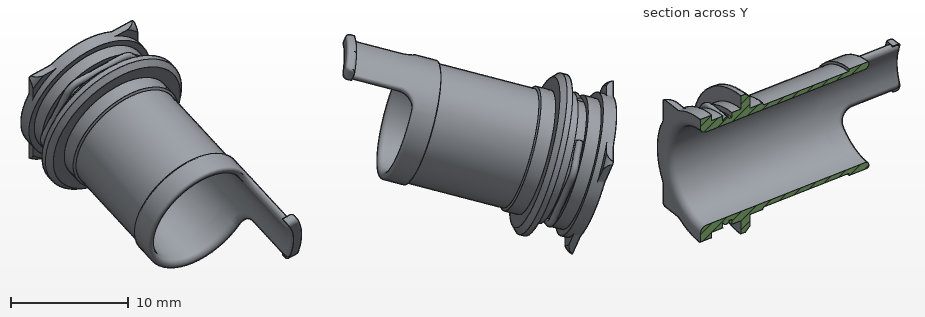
import cadquery as cq
import math

bore_radius = 4.75
collar_radius = 5.47
body_radius = 5.25

front_flange_radius = 6.3
front_flange_end = 1.2
mouth_round = 0.71
tab_half_width = 5.45
tab_thickness = 0.62
tab_corner_radius = 7.58
tab_back_radius = 7.0
tab_middle_radius = 7.42
tab_root_fillet = 0.5

neck_radius = 5.75
groove_start = 2.36
groove_end = 3.27

stop_flange_radius = 7.09
stop_flange_start = 4.22
stop_flange_end = 5.2
stop_flange_bevel = 0.48

collar_end = 6.5
collar_taper = 0.12
band_start = 15.48
band_taper = 0.08
band_end = 17.55

total_length = 24.0
arm_half_angle = 26.3
arm_foot_fillet = 1.45
arm_corner_fillet = 0.48
lip_start = 23.15
lip_radius = 6.0
lip_root_radius = 5.05
lip_half_width = 2.36
lip_corner_fillet = 0.44
lip_edge_fillet = 0.24
inner_edge_fillet = 0.47
outer_edge_fillet = 0.24

wire_radius = 0.32
clip_x = 2.72
clip_outer_apothem = 5.5
clip_outer_bend = 1.56

tolerance = 0.01


def turned(points):
    """Revolve a closed (x, radius) outline about the X axis."""
    return cq.Workplane("XY").polyline(points).close().revolve(360, (0, 0, 0), (1, 0, 0))


def ring(start, end, inner_radius, outer_radius):
    """A plain ring about the X axis."""
    return turned([
        (start, inner_radius),
        (end, inner_radius),
        (end, outer_radius),
        (start, outer_radius),
    ])


def ring_sector(start, end, inner_radius, outer_radius, first_angle, last_angle):
    """The part of a ring between two angles, measured about the X axis from +Y towards +Z."""
    return (
        cq.Workplane("XY")
        .moveTo(start, inner_radius)
        .lineTo(end, inner_radius)
        .lineTo(end, outer_radius)
        .lineTo(start, outer_radius)
        .close()
        .revolve(last_angle - first_angle, (0, 0, 0), (1, 0, 0))
        .rotate((0, 0, 0), (1, 0, 0), first_angle)
    )


def axis_distance(edge):
    """Distance of an edge's middle from the X axis."""
    middle = edge.positionAt(0.5)
    return math.hypot(middle.y, middle.z)


def fillet_edges(body, radius, is_wanted):
    """Round the edges of a body that pass a test."""
    wanted = [edge for edge in body.edges().vals() if is_wanted(edge)]
    return body.newObject(wanted).fillet(radius)


def is_tip_corner(edge):
    """True for the two short edges across the wall at the free end of the arm or lip."""
    return edge.geomType() == "LINE" and abs(edge.Center().x - total_length) < tolerance


def make_sleeve():
    """Stepped outside of the sleeve, from the front flange to the band, with its bore."""
    return turned([
        (0, bore_radius),
        (0, front_flange_radius),
        (front_flange_end, front_flange_radius),
        (front_flange_end, neck_radius),
        (groove_start, neck_radius),
        (groove_start, body_radius),
        (groove_end, body_radius),
        (groove_end, neck_radius),
        (stop_flange_start, neck_radius),
        (stop_flange_start, stop_flange_radius),
        (stop_flange_end - stop_flange_bevel, stop_flange_radius),
        (stop_flange_end, stop_flange_radius - stop_flange_bevel),
        (stop_flange_end, collar_radius),
        (collar_end, collar_radius),
        (collar_end + collar_taper, body_radius),
        (band_start - band_taper, body_radius),
        (band_start, collar_radius),
        (band_start, bore_radius),
    ])


def make_tabs():
    """Square plate whose corners, rounded off at the back, stand out of the front flange."""
    square = cq.Workplane("YZ").rect(2 * tab_half_width, 2 * tab_half_width).extrude(tab_thickness)
    disc = cq.Workplane("YZ").circle(front_flange_radius).extrude(tab_thickness)

    def is_tab_root(edge):
        center = edge.Center()
        on_flange = abs(axis_distance(edge) - front_flange_radius) < tolerance
        on_square = abs(max(abs(center.y), abs(center.z)) - tab_half_width) < tolerance
        return edge.geomType() == "LINE" and on_flange and on_square

    plate = fillet_edges(square.union(disc), tab_root_fillet, is_tab_root)
    envelope = (
        cq.Workplane("XY")
        .lineTo(tab_thickness, 0)
        .lineTo(tab_thickness, tab_back_radius)
        .threePointArc((tab_thickness / 2, tab_middle_radius), (0, tab_corner_radius))
        .close()
        .revolve(360, (0, 0, 0), (1, 0, 0))
    )
    bore = cq.Workplane("YZ").circle(bore_radius).extrude(tab_thickness)
    return plate.intersect(envelope).cut(bore)


def make_band_and_arm():
    """Rear band and arm: a tube cut back to the band everywhere but at the arm."""
    tube = ring(band_start, total_length, bore_radius, collar_radius)
    gap = ring_sector(
        band_end,
        total_length + band_end,
        bore_radius / 2,
        2 * collar_radius,
        arm_half_angle,
        360 - arm_half_angle,
    )
    gap = fillet_edges(
        gap,
        arm_foot_fillet,
        lambda edge: edge.geomType() == "LINE" and abs(edge.Center().x - band_end) < tolerance,
    )
    body = fillet_edges(tube.cut(gap), arm_corner_fillet, is_tip_corner)

    def is_rim(edge, radius):
        behind_band = edge.BoundingBox().xmax > band_end - tolerance
        whole_edge_behind = edge.BoundingBox().xmin > band_start + tolerance
        return behind_band and whole_edge_behind and abs(axis_distance(edge) - radius) < tolerance

    body = fillet_edges(body, inner_edge_fillet, lambda edge: is_rim(edge, bore_radius))
    return fillet_edges(body, outer_edge_fillet, lambda edge: is_rim(edge, collar_radius))


def make_lip():
    """Raised lip with parallel sides across the outside of the arm's tip."""
    lip_length = total_length - lip_start
    sector = ring_sector(
        lip_start, total_length, lip_root_radius, lip_radius, -2 * arm_half_angle, 2 * arm_half_angle
    )
    sides = cq.Workplane("XY").box(
        lip_length, 2 * lip_radius, 2 * lip_half_width, centered=(False, True, True)
    ).translate((lip_start, 0, 0))
    lip = fillet_edges(sector.intersect(sides), lip_corner_fillet, is_tip_corner)
    return fillet_edges(lip, lip_edge_fillet, lambda edge: axis_distance(edge) > lip_radius - tolerance)


def make_clip():
    """Wire clip round the groove: a hexagon with rounded corners, missing its +Y corner."""
    apothem = clip_outer_apothem - wire_radius
    bend_radius = clip_outer_bend - wire_radius
    bend_center_distance = (apothem - bend_radius) / math.cos(math.radians(30))

    def polar(radius, degrees):
        angle = math.radians(degrees)
        return radius * math.cos(angle), radius * math.sin(angle)

    def on_bend(corner_angle, direction):
        center_y, center_z = polar(bend_center_distance, corner_angle)
        offset_y, offset_z = polar(bend_radius, direction)
        return center_y + offset_y, center_z + offset_z

    path = cq.Workplane("YZ", origin=(clip_x, 0, 0)).moveTo(*polar(apothem, 30))
    for corner_angle in range(60, 301, 60):
        path = path.lineTo(*on_bend(corner_angle, corner_angle - 30))
        path = path.threePointArc(
            on_bend(corner_angle, corner_angle), on_bend(corner_angle, corner_angle + 30)
        )
    path = path.lineTo(*polar(apothem, 330))

    start_y, start_z = polar(apothem, 30)
    run_y, run_z = polar(1, 120)
    start_plane = cq.Plane(origin=(clip_x, start_y, start_z), xDir=(1, 0, 0), normal=(0, run_y, run_z))
    return cq.Workplane(start_plane).circle(wire_radius).sweep(path)


def round_mouth(body):
    """Round the front mouth of the bore."""

    def is_mouth_edge(edge):
        on_front_face = edge.BoundingBox().xmax < tolerance
        return on_front_face and abs(axis_distance(edge) - bore_radius) < tolerance

    return fillet_edges(body, mouth_round, is_mouth_edge)


sleeve = round_mouth(make_sleeve().union(make_tabs()))
tail = make_band_and_arm().union(make_lip())
result = sleeve.union(tail).union(make_clip())